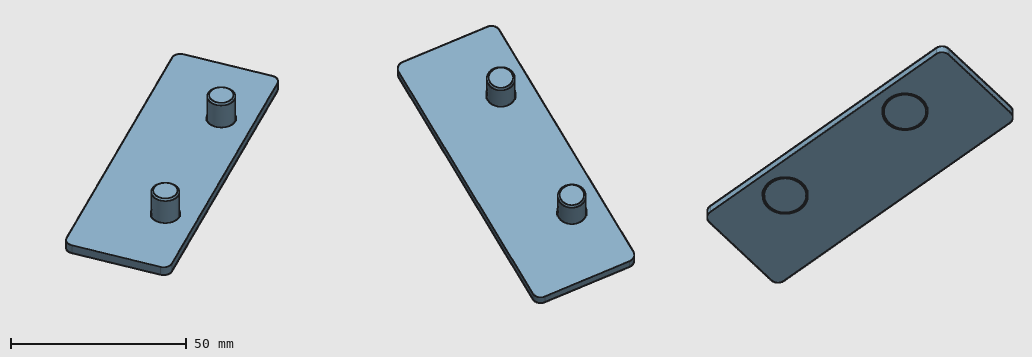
import cadquery as cq

plate_width = 32.0
plate_length = 90.0
plate_thickness = 3.0
corner_radius = 2.5

pin_diameter = 8.0
pin_height = 11.5
pin_chamfer = 0.5
head_diameter = 12.0
head_height = 1.5
hole_diameter = 8.5
counterbore_diameter = 13.0
pin_offset_x = 6.5
pin_spacing_y = 45.0
pin_centers = [(pin_offset_x, side * pin_spacing_y / 2) for side in (-1, 1)]


def make_plate():
    """Flat plate with rounded corners and one hole per pin, counterbored from below for its head."""
    blank = (
        cq.Workplane("XY")
        .rect(plate_width, plate_length)
        .extrude(plate_thickness)
        .edges("|Z")
        .fillet(corner_radius)
    )
    holes = (
        cq.Workplane("XY")
        .pushPoints(pin_centers)
        .circle(hole_diameter / 2)
        .extrude(plate_thickness)
    )
    counterbores = (
        cq.Workplane("XY")
        .pushPoints(pin_centers)
        .circle(counterbore_diameter / 2)
        .extrude(head_height)
    )
    return blank.cut(holes).cut(counterbores)


def make_pin(center):
    """Round pin chamfered at the top, with a flat head flush with the plate underside."""
    shank = (
        cq.Workplane("XY")
        .center(*center)
        .circle(pin_diameter / 2)
        .extrude(pin_height)
        .faces(">Z")
        .chamfer(pin_chamfer)
    )
    head = (
        cq.Workplane("XY")
        .center(*center)
        .circle(head_diameter / 2)
        .extrude(head_height)
    )
    return shank.union(head)


plate = make_plate()
pins = [make_pin(center) for center in pin_centers]

result = cq.Compound.makeCompound([plate.val(), *[pin.val() for pin in pins]])